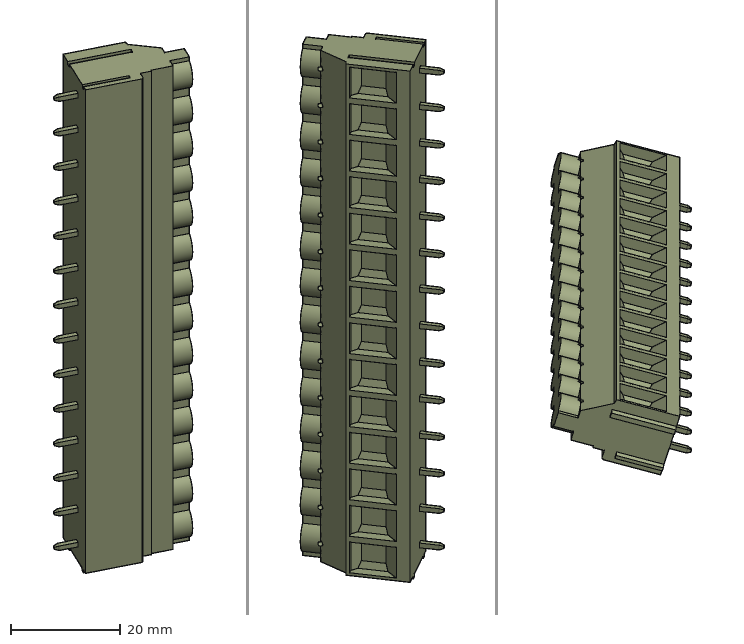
import cadquery as cq
import math


pole_count = 14
pitch = 7.62
row_length = pole_count * pitch
overall_length = 107.28

body_width = 12.5
overall_height = 26.1
body_height = 21.6
entry_face_height = 12.1
ledge_width = 0.85
ledge_rise = 0.2
slope_angle = 30.0
shoulder_height = 17.8
back_x = 10.32
back_step_x = 10.65
back_step_height = 13.5
rear_height = 11.3
rear_chamfer = 0.3

tower_radius = 3.28
tower_x = back_x - tower_radius
tower_wall_thickness = 2.9

nub_radius = 0.5
nub_inset = 0.25

entry_start_y = 2.6
entry_end_y = 11.4
entry_length_z = 6.4
entry_depth = 2.55
entry_upper_wall_depth = 0.95
entry_side_wall_depth = 2.05
entry_floor_z = 3.6

pin_x = 7.95
pin_size = 1.0
pin_length = overall_height - body_height
pin_tip_length = 0.8
pin_tip_size = 0.5

rib_height = overall_length - row_length
groove_depth = rib_height
rib_lead_in = 0.45
joints = [(2.6, 0.95, 12.3), (10.7, 0.65, 9.05)]

pole_centres = [(i + 0.5) * pitch for i in range(pole_count)]


def make_housing():
    slope_foot_y = entry_face_height + ledge_rise
    slope_run = (shoulder_height - slope_foot_y) * math.tan(math.radians(slope_angle))
    outline = [
        (0, 0),
        (body_width, 0),
        (body_width, rear_height - rear_chamfer),
        (body_width - rear_chamfer, rear_height),
        (back_step_x, rear_height),
        (back_step_x, back_step_height),
        (back_x, back_step_height),
        (back_x, shoulder_height),
        (ledge_width + slope_run, shoulder_height),
        (ledge_width, slope_foot_y),
        (0, entry_face_height),
    ]
    return cq.Workplane("XY").polyline(outline).close().extrude(row_length)


def make_tower_wall():
    height = body_height - shoulder_height
    return (
        cq.Workplane("XY")
        .center(tower_x, shoulder_height + height / 2)
        .rect(tower_wall_thickness, height)
        .extrude(row_length)
    )


def make_tower(z):
    return (
        cq.Workplane("XZ", origin=(tower_x, shoulder_height, z))
        .circle(tower_radius)
        .extrude(shoulder_height - body_height)
    )


def make_nub(z):
    nub_x = tower_x - tower_radius + nub_inset
    return cq.Workplane("XY", origin=(nub_x, shoulder_height, z)).sphere(nub_radius)


def make_entry(z):
    upper_run = entry_depth - entry_upper_wall_depth
    side_profile = [
        (0, entry_start_y),
        (entry_depth, entry_start_y + entry_depth),
        (entry_depth, entry_end_y - upper_run),
        (entry_upper_wall_depth, entry_end_y),
        (0, entry_end_y),
    ]
    half_open = entry_length_z / 2
    half_floor = entry_floor_z / 2
    cross_profile = [
        (0, -half_open),
        (entry_side_wall_depth, -half_open),
        (entry_depth, -half_floor),
        (entry_depth, half_floor),
        (entry_side_wall_depth, half_open),
        (0, half_open),
    ]
    along_z = (
        cq.Workplane("XY", origin=(0, 0, z - half_open))
        .polyline(side_profile)
        .close()
        .extrude(entry_length_z)
    )
    along_y = (
        cq.Workplane("XZ", origin=(0, 0, z))
        .polyline(cross_profile)
        .close()
        .extrude(-entry_end_y)
    )
    return along_z.intersect(along_y)


def make_pin(z):
    shank_length = pin_length - pin_tip_length
    shank = (
        cq.Workplane("XZ", origin=(pin_x, 0, z))
        .rect(pin_size, pin_size)
        .extrude(shank_length)
    )
    return (
        shank.faces("<Y").workplane()
        .rect(pin_size, pin_size)
        .workplane(offset=pin_tip_length)
        .rect(pin_tip_size, pin_tip_size)
        .loft(combine=True)
    )


def make_rib(x, width, length):
    profile = [
        (x - rib_lead_in, 0),
        (x, -rib_height),
        (x + width, -rib_height),
        (x + width, 0),
    ]
    return cq.Workplane("XZ").polyline(profile).close().extrude(-length)


def make_groove(x, width, length):
    return (
        cq.Workplane("XY", origin=(x, 0, row_length - groove_depth))
        .box(width, length, groove_depth, centered=False)
    )


result = make_housing().union(make_tower_wall())
for z in pole_centres:
    result = result.union(make_tower(z)).union(make_nub(z)).union(make_pin(z))
    result = result.cut(make_entry(z))
for x, width, length in joints:
    result = result.union(make_rib(x, width, length))
    result = result.cut(make_groove(x, width, length))